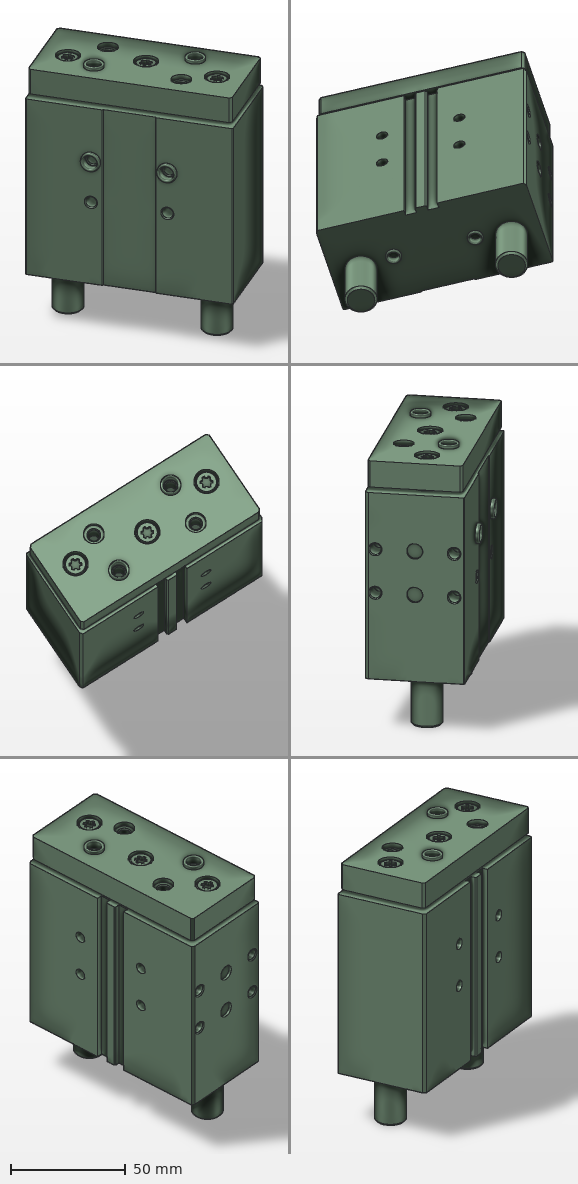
import cadquery as cq
import math


housing_width = 95.0
housing_depth = 44.0
housing_height = 85.5
front_chamfer = 0.5
rear_chamfer_x = 0.9
rear_chamfer_y = 1.5
front_recess_width = 24.7
front_recess_depth = 0.5
front_recess_slope = 0.4
rear_slot_width = 15.0
rear_slot_depth = 2.5
rear_rib_width = 5.2
rear_rib_chamfer = 0.6

plate_width = 93.1
plate_depth = 42.0
plate_height = 12.0
plate_corner_chamfer = 1.1
plate_gap = 2.2
plate_bottom = housing_height + plate_gap
plate_top = plate_bottom + plate_height
guide_rod_diameter = 14.0
guide_rod_x = 34.1
guide_rod_y = -3.0
guide_rod_overhang = 23.3
guide_rod_chamfer = 1.0
piston_rod_diameter = 9.6
piston_rod_y = 2.0
piston_rod_reach = 62.4
rod_places = [(-guide_rod_x, guide_rod_y), (0, piston_rod_y), (guide_rod_x, guide_rod_y)]

screw_counterbore_diameter = 11.0
screw_counterbore_depth = 5.0
screw_head_diameter = 9.7
screw_head_chamfer = 0.5
screw_head_sink = 0.7
star_tip_radius = 2.7
star_root_radius = 2.0
star_tip_angle = 24
star_depth = 1.9
star_lobes = 6

sleeve_diameter = 9.0
sleeve_wall = 1.2
sleeve_seat_depth = 2.2
sleeve_stand_out = 1.7
small_sleeve_diameter = 7.0
small_sleeve_wall = 0.9
small_sleeve_stand_out = 1.4
small_sleeve_x = 18.5

plate_hole_x = 20.0
plate_hole_y = 10.0
mount_hole_x = 17.5
mount_hole_y = 17.5
lower_row_z = 39.7
row_spacing = 20.0
upper_row_z = lower_row_z + row_spacing
mount_hole_diameter = 5.0
mount_hole_rim = 6.0
side_hole_depth = 10.0
drill_point_angle = 118

plug_diameter = 7.0
plug_sink = 1.2
plug_length = 4.2

left_face = -housing_width / 2
front_face = -housing_depth / 2
rear_face = housing_depth / 2


def cylinder(diameter, length, base, direction):
    """Solid cylinder starting at base and running along direction."""
    return cq.Workplane(cq.Solid.makeCylinder(diameter / 2, length, cq.Vector(*base), cq.Vector(*direction)))


def along(base, direction, distance):
    """Point at the given distance from base along a unit direction."""
    return tuple(b + distance * d for b, d in zip(base, direction))


def tapped_hole(base, inward, depth, pointed=False):
    """Cutter for a hole with a chamfered rim and, if pointed, a drill-point end."""
    radius = mount_hole_diameter / 2
    rim = (mount_hole_rim - mount_hole_diameter) / 2
    cutter = cylinder(mount_hole_diameter, depth, base, inward)
    rim_cone = cq.Solid.makeCone(radius + rim, radius, rim, cq.Vector(*base), cq.Vector(*inward))
    cutter = cutter.union(cq.Workplane(rim_cone))
    if pointed:
        tip_length = radius / math.tan(math.radians(drill_point_angle / 2))
        tip_base = cq.Vector(*along(base, inward, depth))
        tip = cq.Solid.makeCone(radius, 0, tip_length, tip_base, cq.Vector(*inward))
        cutter = cutter.union(cq.Workplane(tip))
    return cutter


def make_sleeve(base, outward, diameter, wall, stand_out):
    """Locating sleeve seated in the face at base, with a fully rounded rim standing out of it."""
    outer = diameter / 2
    inner = outer - wall
    rim_start = stand_out - wall / 2
    section = (
        cq.Workplane("XZ")
        .moveTo(inner, -sleeve_seat_depth)
        .lineTo(outer, -sleeve_seat_depth)
        .lineTo(outer, rim_start)
        .threePointArc((outer - wall / 2, stand_out), (inner, rim_start))
        .close()
    )
    sleeve = section.revolve(360, (0, 0, 0), (0, 1, 0))
    seat = cq.Plane(origin=base, normal=outward)
    return cq.Workplane(sleeve.val().moved(cq.Location(seat)))


plate_holes = [(x, y, plate_top) for x in (-plate_hole_x, plate_hole_x) for y in (-plate_hole_y, plate_hole_y)]
plate_sleeves = [(-plate_hole_x, -plate_hole_y, plate_top), (plate_hole_x, plate_hole_y, plate_top)]
front_sleeves = [(x, front_face, upper_row_z) for x in (-mount_hole_x, mount_hole_x)]
bottom_sleeves = [(x, 0, 0) for x in (-small_sleeve_x, small_sleeve_x)]
ports = [(left_face, 0, z) for z in (lower_row_z, upper_row_z)]


def housing_profile():
    """Cross-section with chamfered corners, a shallow front recess and a ribbed rear slot."""
    half_width = housing_width / 2
    half_recess = front_recess_width / 2
    half_slot = rear_slot_width / 2
    half_rib = rear_rib_width / 2
    recess_y = front_face + front_recess_depth
    slot_y = rear_face - rear_slot_depth
    right_half = [
        (half_recess - front_recess_slope, recess_y),
        (half_recess, front_face),
        (half_width - front_chamfer, front_face),
        (half_width, front_face + front_chamfer),
        (half_width, rear_face - rear_chamfer_y),
        (half_width - rear_chamfer_x, rear_face),
        (half_slot, rear_face),
        (half_slot, slot_y),
        (half_rib, slot_y),
        (half_rib, rear_face - rear_rib_chamfer),
        (half_rib - rear_rib_chamfer, rear_face),
    ]
    left_half = [(-x, y) for x, y in reversed(right_half)]
    return cq.Workplane("XY").polyline(right_half + left_half).close()


def make_housing():
    housing = housing_profile().extrude(housing_height)
    for x in (-guide_rod_x, guide_rod_x):
        housing = housing.cut(cylinder(guide_rod_diameter, housing_height, (x, guide_rod_y, 0), (0, 0, 1)))
    piston_bore_base = (0, piston_rod_y, housing_height)
    housing = housing.cut(cylinder(piston_rod_diameter, piston_rod_reach, piston_bore_base, (0, 0, -1)))
    for x in (-mount_hole_x, mount_hole_x):
        for z in (lower_row_z, upper_row_z):
            housing = housing.cut(tapped_hole((x, front_face, z), (0, 1, 0), housing_depth))
    for base in front_sleeves:
        seat_floor = along(base, (0, 1, 0), sleeve_seat_depth)
        housing = housing.cut(cylinder(sleeve_diameter, sleeve_seat_depth, base, (0, 1, 0)))
        housing = housing.cut(tapped_hole(seat_floor, (0, 1, 0), housing_depth - sleeve_seat_depth))
    for y in (-mount_hole_y, mount_hole_y):
        for z in (lower_row_z, upper_row_z):
            housing = housing.cut(tapped_hole((left_face, y, z), (1, 0, 0), side_hole_depth, pointed=True))
    for base in bottom_sleeves:
        housing = housing.cut(cylinder(small_sleeve_diameter, sleeve_seat_depth, base, (0, 0, 1)))
    for base in ports:
        housing = housing.cut(cylinder(plug_diameter, plug_sink + plug_length, base, (1, 0, 0)))
    return housing


def star_socket(x, y, top):
    """Cutter for the six-lobed drive socket of a screw."""
    def polar(radius, degrees):
        return radius * math.cos(math.radians(degrees)), radius * math.sin(math.radians(degrees))

    pitch = 360 / star_lobes
    half_tip = star_tip_angle / 2
    outline = cq.Workplane("XY").moveTo(*polar(star_tip_radius, 90 - half_tip))
    for lobe in range(star_lobes):
        middle = 90 + lobe * pitch
        outline = outline.threePointArc(polar(star_tip_radius, middle), polar(star_tip_radius, middle + half_tip))
        root = polar(star_root_radius, middle + pitch / 2)
        outline = outline.threePointArc(root, polar(star_tip_radius, middle + pitch - half_tip))
    return outline.close().extrude(-star_depth).translate((x, y, top))


def make_carriage():
    carriage = cq.Workplane("XY").box(plate_width, plate_depth, plate_height, centered=(True, True, False))
    carriage = carriage.edges("|Z").chamfer(plate_corner_chamfer).translate((0, 0, plate_bottom))
    for x, y in rod_places:
        floor = (x, y, plate_top - screw_counterbore_depth)
        head_height = screw_counterbore_depth - screw_head_sink
        carriage = carriage.cut(cylinder(screw_counterbore_diameter, screw_counterbore_depth, floor, (0, 0, 1)))
        head = cylinder(screw_head_diameter, head_height, floor, (0, 0, 1))
        carriage = carriage.union(head.faces(">Z").chamfer(screw_head_chamfer))
        carriage = carriage.cut(star_socket(x, y, plate_top - screw_head_sink))
    for base in plate_holes:
        carriage = carriage.cut(cylinder(sleeve_diameter, sleeve_seat_depth, base, (0, 0, -1)))
        seat_floor = along(base, (0, 0, -1), sleeve_seat_depth)
        carriage = carriage.cut(tapped_hole(seat_floor, (0, 0, -1), plate_height - sleeve_seat_depth))
    guide_rod_length = guide_rod_overhang + plate_bottom
    for x in (-guide_rod_x, guide_rod_x):
        rod = cylinder(guide_rod_diameter, guide_rod_length, (x, guide_rod_y, -guide_rod_overhang), (0, 0, 1))
        carriage = carriage.union(rod.faces("<Z").chamfer(guide_rod_chamfer))
    piston_rod_length = piston_rod_reach + plate_gap
    piston_rod = cylinder(piston_rod_diameter, piston_rod_length, (0, piston_rod_y, plate_bottom), (0, 0, -1))
    return carriage.union(piston_rod)


def make_plug(port):
    """Plain plug sunk below the side face."""
    return cylinder(plug_diameter, plug_length, along(port, (1, 0, 0), plug_sink), (1, 0, 0))


housing = make_housing()
carriage = make_carriage()

sleeves = []
for base in plate_sleeves:
    sleeves.append(make_sleeve(base, (0, 0, 1), sleeve_diameter, sleeve_wall, sleeve_stand_out))
for base in front_sleeves:
    sleeves.append(make_sleeve(base, (0, -1, 0), sleeve_diameter, sleeve_wall, sleeve_stand_out))
for base in bottom_sleeves:
    sleeve = make_sleeve(base, (0, 0, -1), small_sleeve_diameter, small_sleeve_wall, small_sleeve_stand_out)
    sleeves.append(sleeve)

plugs = [make_plug(port) for port in ports]

result = cq.Compound.makeCompound(
    [housing.val(), carriage.val()]
    + [sleeve.val() for sleeve in sleeves]
    + [plug.val() for plug in plugs]
)